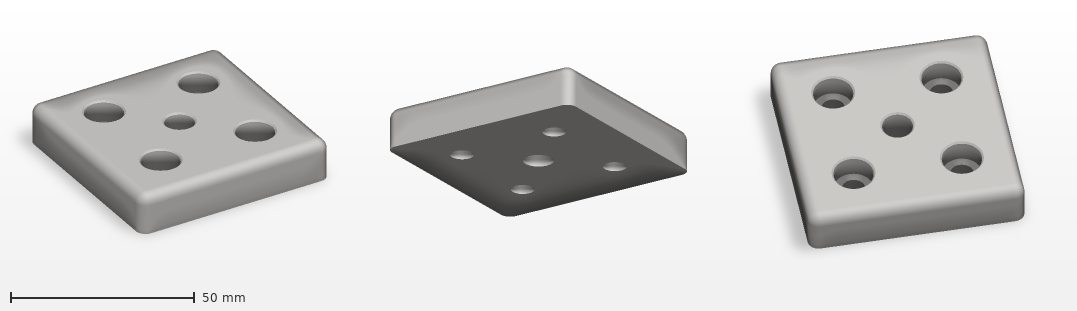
import cadquery as cq

side = 60.0
thickness = 12.0
edge_radius = 3.0

hole_spacing = side / 2
hole_diameter = 6.5
counterbore_diameter = 11.0
counterbore_depth = 6.5

center_diameter = 8.4

rim_chamfer = 0.5


def rounded_plate():
    """Plate on Z = 0 with rounded upright and top edges."""
    plate = cq.Workplane("XY").box(side, side, thickness, centered=(True, True, False))
    return plate.edges("|Z or >Z").fillet(edge_radius)


def bore(diameter, depth):
    """Cutter for a bore down from the top face, flared by the rim chamfer."""
    cylinder = cq.Workplane("XY").workplane(offset=thickness - depth).circle(diameter / 2).extrude(depth)
    flare = (
        cq.Workplane("XY")
        .workplane(offset=thickness - rim_chamfer)
        .circle(diameter / 2)
        .workplane(offset=rim_chamfer)
        .circle(diameter / 2 + rim_chamfer)
        .loft()
    )
    return cylinder.union(flare)


def counterbored_hole():
    """Cutter for a through hole with a chamfered counterbore."""
    through = cq.Workplane("XY").circle(hole_diameter / 2).extrude(thickness)
    return through.union(bore(counterbore_diameter, counterbore_depth))


result = rounded_plate().cut(bore(center_diameter, thickness))
for x_sign in (-1, 1):
    for y_sign in (-1, 1):
        position = (x_sign * hole_spacing / 2, y_sign * hole_spacing / 2, 0)
        result = result.cut(counterbored_hole().translate(position))